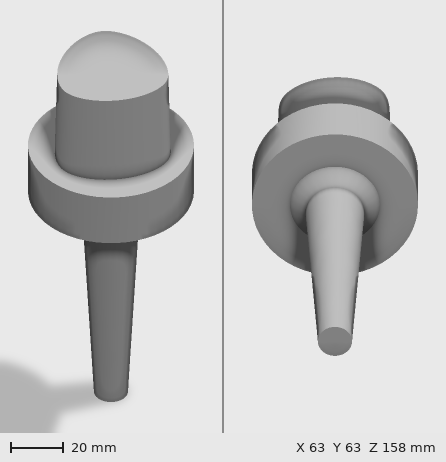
import cadquery as cq
import math

total_height = 158.0
shank_height = 37.8
flange_height = 22.3
collar_height = 5.7
stem_height = total_height - shank_height - flange_height - collar_height

flange_diameter = 63.0
collar_top_diameter = 34.1
stem_top_diameter = 22.5
stem_tip_diameter = 13.0

shank_base_width = 44.1
shank_top_width = 42.2
lobe_eccentricity = 1.5
outline_points = 48


def cone(bottom_diameter, top_diameter, base_z, height):
    """Round tapered section standing on base_z."""
    return (
        cq.Workplane("XY")
        .workplane(offset=base_z)
        .circle(bottom_diameter / 2)
        .workplane(offset=height)
        .circle(top_diameter / 2)
        .loft(ruled=True)
    )


def lobed_point(width, angle):
    """Point of a constant-width curve whose outward normal is at angle; one lobe points to -Y."""
    support = width / 2 + lobe_eccentricity * math.sin(3 * angle)
    slope = 3 * lobe_eccentricity * math.cos(3 * angle)
    x = support * math.cos(angle) - slope * math.sin(angle)
    y = support * math.sin(angle) + slope * math.cos(angle)
    return (x, y)


def lobed_outline(width):
    """Points around the shank, starting at the -Y lobe."""
    step = 2 * math.pi / outline_points
    return [lobed_point(width, -math.pi / 2 + i * step) for i in range(outline_points)]


def lobed_shank(base_z):
    return (
        cq.Workplane("XY")
        .workplane(offset=base_z)
        .spline(lobed_outline(shank_base_width), periodic=True)
        .close()
        .workplane(offset=shank_height)
        .spline(lobed_outline(shank_top_width), periodic=True)
        .close()
        .loft(ruled=True)
    )


collar_z = stem_height
flange_z = collar_z + collar_height
shank_z = flange_z + flange_height

stem = cone(stem_tip_diameter, stem_top_diameter, 0, stem_height)
collar = cone(stem_top_diameter, collar_top_diameter, collar_z, collar_height)
flange = cq.Workplane("XY").workplane(offset=flange_z).circle(flange_diameter / 2).extrude(flange_height)

result = stem.union(collar).union(flange).union(lobed_shank(shank_z))